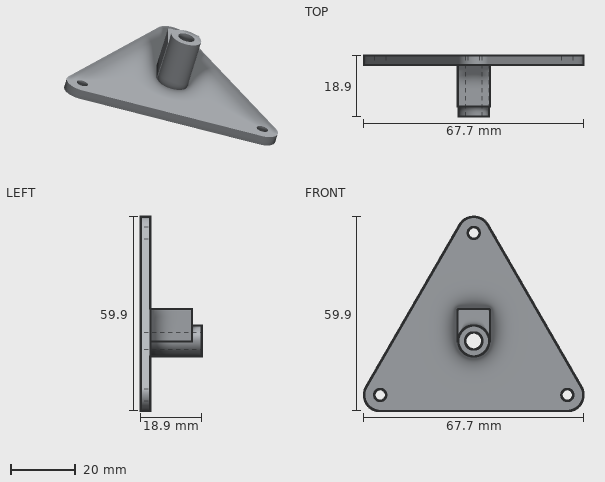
import cadquery as cq
import math

hole_spacing = 57.65
corner_radius = 5.0
plate_thickness = 3.0
mount_hole_diameter = 3.6

total_depth = 18.9
boss_diameter = 9.55
bore_diameter = 5.2
block_side = 10.0
block_top = 9.9
block_length = 12.85
block_edge_radius = 0.55

hole_circle_radius = hole_spacing / math.sqrt(3)
corner_angles = [90, 210, 330]
corner_points = [
    (
        hole_circle_radius * math.cos(math.radians(angle)),
        hole_circle_radius * math.sin(math.radians(angle)),
    )
    for angle in corner_angles
]


def front_sketch():
    """XZ workplane on the back face; positive extrusion runs toward -Y."""
    return cq.Workplane("XZ")


def make_plate():
    """Triangle through the hole centres, grown outward to rounded corners."""
    return (
        front_sketch()
        .polyline(corner_points)
        .close()
        .offset2D(corner_radius, "arc")
        .extrude(plate_thickness)
    )


def make_block():
    """Square block rising from just below the boss axis, with its two upper lengthwise edges rounded."""
    return (
        front_sketch()
        .center(0, block_top - block_side / 2)
        .rect(block_side, block_side)
        .extrude(plate_thickness + block_length)
        .faces(">Z")
        .edges("|Y")
        .fillet(block_edge_radius)
    )


boss = front_sketch().circle(boss_diameter / 2).extrude(total_depth)
bore = front_sketch().circle(bore_diameter / 2).extrude(total_depth)
mount_holes = (
    front_sketch()
    .pushPoints(corner_points)
    .circle(mount_hole_diameter / 2)
    .extrude(plate_thickness)
)

result = make_plate().union(make_block()).union(boss).cut(bore).cut(mount_holes)